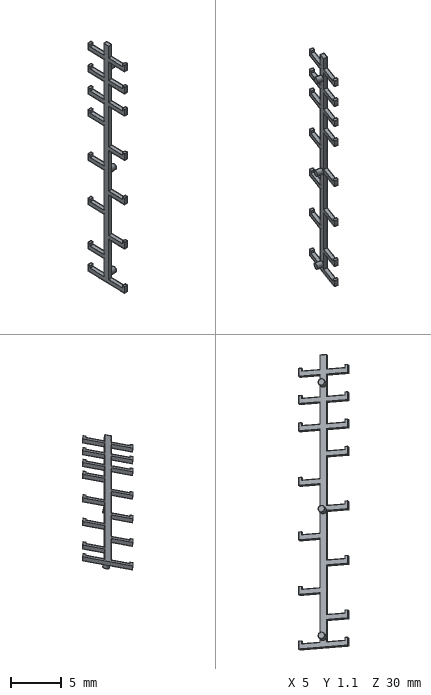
import cadquery as cq

height = 30.0
width = 5.0
depth = 1.1

bar_thickness = 0.42
spine_width = 0.65

arm_height = 0.5
hook_height = 0.8
hook_width = 0.3

LEFT = -1
RIGHT = 1
BOTH = (LEFT, RIGHT)
arm_sides = [
    BOTH,
    (LEFT,),
    (RIGHT,),
    (LEFT,),
    (RIGHT,),
    (LEFT,),
    (RIGHT,),
    (LEFT,),
    BOTH,
    BOTH,
    BOTH,
]
top_arm_z = 28.0
arm_pitch = top_arm_z / (len(arm_sides) - 1)

pin_diameter = 0.65
pin_length = depth - bar_thickness
lowest_pin_z = 1.0
highest_pin_z = 27.0
middle_pin_z = (lowest_pin_z + highest_pin_z) / 2


def make_spine():
    """Upright bar with its front face at Y = 0 and its bottom at Z = 0."""
    return cq.Workplane("XY").box(spine_width, bar_thickness, height, centered=(True, False, False))


def make_arm(side, z):
    """Arm from the spine's centre line out to one side, with its underside at z."""
    tip = side * width / 2
    hook_inner = side * (width / 2 - hook_width)
    outline = [
        (0, z),
        (tip, z),
        (tip, z + hook_height),
        (hook_inner, z + hook_height),
        (hook_inner, z + arm_height),
        (0, z + arm_height),
    ]
    return cq.Workplane("XZ").polyline(outline).close().extrude(-bar_thickness)


def make_pins():
    """Round pins standing on the back face of the spine."""
    centres = [(0, z) for z in (lowest_pin_z, middle_pin_z, highest_pin_z)]
    back_face = cq.Workplane("XZ", origin=(0, bar_thickness, 0))
    return back_face.pushPoints(centres).circle(pin_diameter / 2).extrude(-pin_length)


result = make_spine()
for level, sides in enumerate(arm_sides):
    for side in sides:
        result = result.union(make_arm(side, level * arm_pitch))
result = result.union(make_pins())